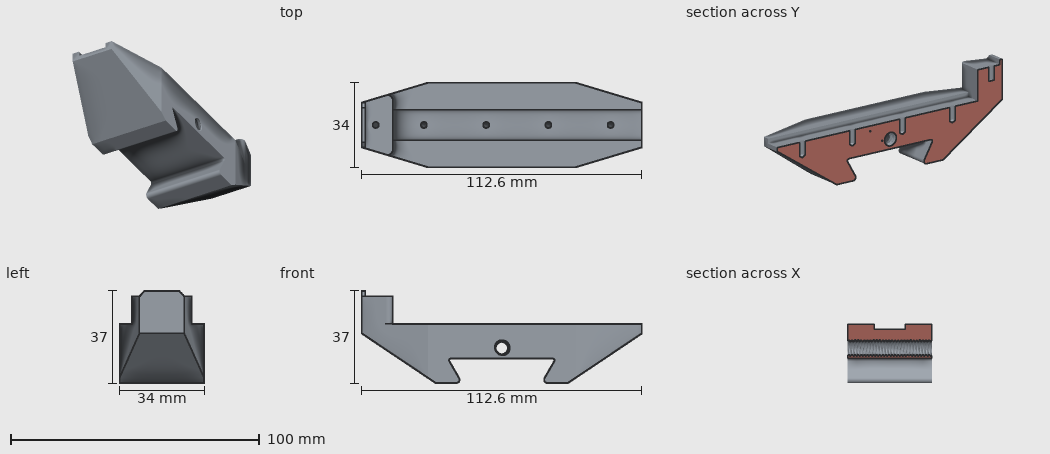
import cadquery as cq
import math

length = 112.6
width = 34.0
height = 37.0
half_length = length / 2
half_width = width / 2

deck_z = 23.8
end_bottom_z = 19.9
underside_length = 53.1
straight_length = 59.5
end_width = 18.0

block_top_z = 34.9
block_length = 12.5
block_corner_radius = 2.1
lip_thickness = 1.5
lip_chamfer = 2.0

dovetail_top_z = 9.8
dovetail_top_width = 43.2
dovetail_flank_angle = 30.0
dovetail_mouth_width = (
    dovetail_top_width - 2 * dovetail_top_z * math.tan(math.radians(dovetail_flank_angle))
)
dovetail_inner_radius = 0.7
dovetail_lip_radius = 1.4
edge_search_margin = 0.1

channel_width = 12.3
channel_depth = 2.0

small_hole_diameter = 2.5
small_hole_depth = 6.0
drill_point_angle = 118.0
deck_hole_count = 4
deck_hole_pitch = 25.0
first_deck_hole_from_end = 25.0
block_hole_from_end = 5.6

thread_minor_diameter = 5.1
thread_major_diameter = 6.3
thread_pitch = 1.2
thread_root_fraction = 1 / 8
thread_crest_fraction = 1 / 4
thread_ramp_steps = 8
thread_z = 14.1


def make_plan_prism():
    """Elongated octagon of the plan outline, extruded to the full height."""
    half_straight = straight_length / 2
    half_end = end_width / 2
    outline = [
        (-half_length, -half_end),
        (-half_straight, -half_width),
        (half_straight, -half_width),
        (half_length, -half_end),
        (half_length, half_end),
        (half_straight, half_width),
        (-half_straight, half_width),
        (-half_length, half_end),
    ]
    return cq.Workplane("XY").polyline(outline).close().extrude(height)


def extrude_side_profile(outline):
    """Extrude a closed X-Z outline across the full width."""
    return cq.Workplane("XZ").polyline(outline).close().extrude(half_width, both=True)


def make_body(plan):
    """Deck and tapered ends, without the dovetail or the stop block."""
    half_underside = underside_length / 2
    outline = [
        (-half_underside, 0),
        (half_underside, 0),
        (half_length, end_bottom_z),
        (half_length, deck_z),
        (-half_length, deck_z),
        (-half_length, end_bottom_z),
    ]
    return extrude_side_profile(outline).intersect(plan)


def box_at_minus_x_end(depth, bottom_z, top_z):
    """Full-width box whose outer face is the -X end of the part."""
    return (
        cq.Workplane("XY")
        .box(depth, width, top_z - bottom_z, centered=(False, True, False))
        .translate((-half_length, 0, bottom_z))
    )


def make_stop_block(plan):
    """Block on the -X end with its two inner vertical corners rounded."""
    block = box_at_minus_x_end(block_length, deck_z, block_top_z).intersect(plan)
    return block.edges("|Z and >X").fillet(block_corner_radius)


def make_lip(plan):
    """Thin lip on top of the stop block with bevelled ends."""
    lip = box_at_minus_x_end(lip_thickness, block_top_z, height).intersect(plan)
    half_end = end_width / 2
    half_top = half_end - lip_chamfer
    chamfer_outline = [
        (-half_end, block_top_z),
        (half_end, block_top_z),
        (half_top, height),
        (-half_top, height),
    ]
    bevelled = cq.Workplane("YZ").polyline(chamfer_outline).close().extrude(half_length, both=True)
    return lip.intersect(bevelled)


def make_dovetail_cutter():
    """Undercut channel with rounded upper corners."""
    half_top = dovetail_top_width / 2
    half_mouth = dovetail_mouth_width / 2
    outline = [
        (-half_mouth, 0),
        (half_mouth, 0),
        (half_top, dovetail_top_z),
        (-half_top, dovetail_top_z),
    ]
    cutter = extrude_side_profile(outline)
    return cutter.edges("|Y and >Z").fillet(dovetail_inner_radius)


def make_channel_cutter():
    """Shallow channel from the stop block to the +X end."""
    channel_start = -half_length + block_length
    return (
        cq.Workplane("XY")
        .box(half_length - channel_start, channel_width, channel_depth, centered=(False, True, False))
        .translate((channel_start, 0, deck_z - channel_depth))
    )


def make_drilled_hole(x, top_z):
    """Blind vertical hole with a conical drill point."""
    radius = small_hole_diameter / 2
    point_height = radius / math.tan(math.radians(drill_point_angle / 2))
    profile = [
        (0, 0),
        (radius, 0),
        (radius, -small_hole_depth),
        (0, -small_hole_depth - point_height),
    ]
    hole = cq.Workplane("XZ").polyline(profile).close().revolve(360, (0, 0, 0), (0, 1, 0))
    return hole.translate((x, 0, top_z))


def make_flat_hole(x, top_z):
    """Blind vertical hole with a flat bottom."""
    return (
        cq.Workplane("XY")
        .circle(small_hole_diameter / 2)
        .extrude(-small_hole_depth)
        .translate((x, 0, top_z))
    )


def make_thread_cutter():
    """Right-hand threaded bore: one twisted cross-section whose radius swings from root to crest."""
    minor_radius = thread_minor_diameter / 2
    major_radius = thread_major_diameter / 2
    ramp_start = math.pi * thread_root_fraction
    ramp_end = math.pi * (1 - thread_crest_fraction)

    def ramp_point(fraction, side):
        """Point on the spiral ramp that joins the root arc to the crest arc."""
        angle = side * (ramp_start + fraction * (ramp_end - ramp_start))
        radius = major_radius + fraction * (minor_radius - major_radius)
        return (radius * math.cos(angle), radius * math.sin(angle))

    fractions = [step / thread_ramp_steps for step in range(thread_ramp_steps + 1)]
    left_ramp = [ramp_point(fraction, 1) for fraction in fractions]
    right_ramp = [ramp_point(fraction, -1) for fraction in reversed(fractions)]
    section = (
        cq.Workplane("XY")
        .moveTo(*right_ramp[-1])
        .threePointArc((major_radius, 0), left_ramp[0])
        .spline(left_ramp[1:], includeCurrent=True)
        .threePointArc((-minor_radius, 0), right_ramp[0])
        .spline(right_ramp[1:], includeCurrent=True)
        .close()
    )
    thread = section.twistExtrude(width, 360 * width / thread_pitch)
    laid = thread.rotate((0, 0, 0), (0, 1, 0), -90).rotate((0, 0, 0), (0, 0, 1), -90)
    return laid.translate((0, -half_width, thread_z))


plan_prism = make_plan_prism()
result = make_body(plan_prism)
result = result.cut(make_dovetail_cutter())

mouth_reach = dovetail_mouth_width / 2 + edge_search_margin
mouth_edges = cq.selectors.BoxSelector(
    (-mouth_reach, -width, -edge_search_margin),
    (mouth_reach, width, edge_search_margin),
)
result = result.edges("|Y").edges(mouth_edges).fillet(dovetail_lip_radius)

result = result.union(make_stop_block(plan_prism)).union(make_lip(plan_prism))
result = result.cut(make_channel_cutter())

for index in range(deck_hole_count):
    hole_x = -half_length + first_deck_hole_from_end + index * deck_hole_pitch
    result = result.cut(make_drilled_hole(hole_x, deck_z - channel_depth))
result = result.cut(make_flat_hole(-half_length + block_hole_from_end, block_top_z))

result = result.cut(make_thread_cutter())